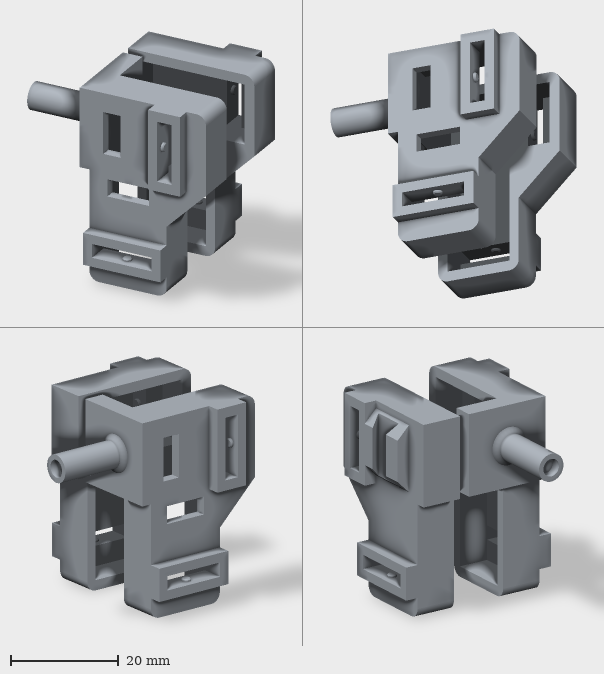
import cadquery as cq


ARM_LENGTH = 26.48
ARM_HEIGHT = 16.35
LEG_LEFT = 2.0
LEG_WIDTH = 16.22
TOTAL_HEIGHT = 39.05
GUSSET_HEIGHT = 8.15
CORNER_RADIUS = 2.0
LEG_RIGHT = LEG_LEFT + LEG_WIDTH

SHELL_DEPTH = 8.15
PANEL_THICKNESS = 2.05
WALL = 2.0
LEG_SIDE_WALL = 1.9

BAND_HEIGHT = 2.55
BAND_MARGIN = 1.85
ARM_BAND_LEFT = 15.7
ARM_BAND_WIDTH = 6.7
LEG_BAND_TOP = 28.35
LEG_BAND_WIDTH = 6.55
BAND_DEPTH = BAND_HEIGHT + PANEL_THICKNESS

BUTTON_DIAMETER = 1.8
BUTTON_HEIGHT = 0.52
BUTTON_CHAMFER = 0.2

ARM_WINDOW_LEFT = 4.92
ARM_WINDOW_TOP = 3.9
ARM_WINDOW_SIZE = (3.67, 8.6)
LEG_WINDOW_LEFT = 5.77
LEG_WINDOW_TOP = 17.55
LEG_WINDOW_SIZE = (8.75, 3.5)

PLATE_THICKNESS = 4.08
PLATE_DEPTH = 17.15
SPIGOT_LENGTH = 13.9
SPIGOT_DIAMETER = 5.5
SPIGOT_FLARE = 1.0
BORE_DIAMETER = 3.47
BORE_DEPTH = 2.0

SHELL_GAP = 2.0
REAR_FACE = PLATE_DEPTH + SHELL_GAP + SHELL_DEPTH
MOUNT_LEFT = 4.85
MOUNT_WIDTH = 12.1
MOUNT_BASE_HEIGHT = 13.28
DOVETAIL_MOUTH = 4.35
DOVETAIL_ROOT = 6.7
DOVETAIL_FLOOR = 0.45


def block(left, right, front, back, top, bottom):
    """Box between two X, two Y and two Z positions; top and bottom are distances below the top."""
    size = (right - left, back - front, bottom - top)
    return cq.Workplane("XY").box(*size, centered=False).translate((left, front, -bottom))


def outline_plate():
    """Solid L-shaped plate with a sloping gusset under the arm and rounded free corners."""
    plate = (
        cq.Workplane("XZ")
        .polyline([
            (0, 0),
            (ARM_LENGTH, 0),
            (ARM_LENGTH, -ARM_HEIGHT),
            (LEG_RIGHT, -ARM_HEIGHT - GUSSET_HEIGHT),
            (LEG_RIGHT, -TOTAL_HEIGHT),
            (LEG_LEFT, -TOTAL_HEIGHT),
            (LEG_LEFT, -ARM_HEIGHT),
            (0, -ARM_HEIGHT),
        ])
        .close()
        .extrude(-SHELL_DEPTH)
    )
    for x, z in [(ARM_LENGTH, 0), (LEG_LEFT, -TOTAL_HEIGHT), (LEG_RIGHT, -TOTAL_HEIGHT)]:
        corner = cq.selectors.NearestToPointSelector((x, SHELL_DEPTH / 2, z))
        plate = plate.edges(corner).fillet(CORNER_RADIUS)
    return plate


def cavity(arm_left):
    """L-shaped hollow open at the inner face of a shell."""
    arm = block(arm_left, ARM_LENGTH - WALL, PANEL_THICKNESS, SHELL_DEPTH, WALL, ARM_HEIGHT - WALL)
    leg = block(
        LEG_LEFT + LEG_SIDE_WALL, LEG_RIGHT - LEG_SIDE_WALL,
        PANEL_THICKNESS, SHELL_DEPTH, WALL, TOTAL_HEIGHT - WALL,
    )
    return arm.union(leg)


def button(center, direction):
    """Chamfered disc standing on a slot wall."""
    plane = cq.Plane(origin=center, normal=direction)
    disc = cq.Workplane(plane).circle(BUTTON_DIAMETER / 2).extrude(BUTTON_HEIGHT)
    tip = tuple(c + BUTTON_HEIGHT * d for c, d in zip(center, direction))
    return disc.edges(cq.selectors.NearestToPointSelector(tip)).chamfer(BUTTON_CHAMFER)


def shell(arm_left):
    """Hollow L-shaped shell with two slotted bands and their buttons, outer face at Y = 0."""
    arm_band_right = ARM_BAND_LEFT + ARM_BAND_WIDTH
    leg_band_bottom = LEG_BAND_TOP + LEG_BAND_WIDTH
    slot_left = ARM_BAND_LEFT + BAND_MARGIN
    slot_right = arm_band_right - BAND_MARGIN
    slot_top = LEG_BAND_TOP + BAND_MARGIN
    slot_bottom = leg_band_bottom - BAND_MARGIN

    body = outline_plate().cut(cavity(arm_left))
    body = body.union(block(ARM_BAND_LEFT, arm_band_right, -BAND_HEIGHT, 0, 0, ARM_HEIGHT))
    body = body.union(block(LEG_LEFT, LEG_RIGHT, -BAND_HEIGHT, 0, LEG_BAND_TOP, leg_band_bottom))
    body = body.cut(block(
        slot_left, slot_right, -BAND_HEIGHT, PANEL_THICKNESS, WALL, ARM_HEIGHT - WALL,
    ))
    body = body.cut(block(
        LEG_LEFT + LEG_SIDE_WALL, LEG_RIGHT - LEG_SIDE_WALL,
        -BAND_HEIGHT, PANEL_THICKNESS, slot_top, slot_bottom,
    ))

    button_y = PANEL_THICKNESS - BAND_DEPTH / 2
    arm_middle = -ARM_HEIGHT / 2
    leg_middle = (LEG_LEFT + LEG_RIGHT) / 2
    for center, direction in [
        ((slot_left, button_y, arm_middle), (1, 0, 0)),
        ((slot_right, button_y, arm_middle), (-1, 0, 0)),
        ((leg_middle, button_y, -slot_top), (0, 0, -1)),
        ((leg_middle, button_y, -slot_bottom), (0, 0, 1)),
    ]:
        body = body.union(button(center, direction))
    return body


def window(left, top, size):
    """Rectangular cutter through the front panel."""
    width, height = size
    return block(left, left + width, 0, PANEL_THICKNESS, top, top + height)


def spigot():
    """Round spigot with a 45 degree flare at its root and a blind bore in its end."""
    radius = SPIGOT_DIAMETER / 2
    bore_radius = BORE_DIAMETER / 2
    profile = (
        cq.Workplane("XY")
        .polyline([
            (0, 0),
            (0, radius + SPIGOT_FLARE),
            (-SPIGOT_FLARE, radius),
            (-SPIGOT_LENGTH, radius),
            (-SPIGOT_LENGTH, bore_radius),
            (BORE_DEPTH - SPIGOT_LENGTH, bore_radius),
            (BORE_DEPTH - SPIGOT_LENGTH, 0),
        ])
        .close()
    )
    turned = profile.revolve(360, (0, 0, 0), (1, 0, 0))
    return turned.translate((0, SHELL_DEPTH, -ARM_HEIGHT / 2))


def front_shell():
    """Shell with two windows, an end plate reaching towards the rear shell, and the spigot."""
    body = shell(PLATE_THICKNESS)
    body = body.union(block(0, PLATE_THICKNESS, 0, PLATE_DEPTH, 0, ARM_HEIGHT))
    body = body.cut(window(ARM_WINDOW_LEFT, ARM_WINDOW_TOP, ARM_WINDOW_SIZE))
    body = body.cut(window(LEG_WINDOW_LEFT, LEG_WINDOW_TOP, LEG_WINDOW_SIZE))
    return body.union(spigot())


def dovetail_mount():
    """Block with 45 degree top and bottom slopes, and a dovetail groove running along Z."""
    outer_face = REAR_FACE + BAND_HEIGHT
    base_top = -(ARM_HEIGHT - MOUNT_BASE_HEIGHT) / 2
    base_bottom = base_top - MOUNT_BASE_HEIGHT
    mount = (
        cq.Workplane("YZ", origin=(MOUNT_LEFT, 0, 0))
        .polyline([
            (REAR_FACE, base_top),
            (outer_face, base_top - BAND_HEIGHT),
            (outer_face, base_bottom + BAND_HEIGHT),
            (REAR_FACE, base_bottom),
        ])
        .close()
        .extrude(MOUNT_WIDTH)
    )
    middle = MOUNT_LEFT + MOUNT_WIDTH / 2
    groove = (
        cq.Workplane("XY")
        .polyline([
            (middle - DOVETAIL_MOUTH / 2, outer_face),
            (middle + DOVETAIL_MOUTH / 2, outer_face),
            (middle + DOVETAIL_ROOT / 2, REAR_FACE + DOVETAIL_FLOOR),
            (middle - DOVETAIL_ROOT / 2, REAR_FACE + DOVETAIL_FLOOR),
        ])
        .close()
        .extrude(-ARM_HEIGHT)
    )
    return mount.cut(groove)


def rear_shell():
    """Mirrored shell facing the front one, with the dovetail mount on its outer face."""
    body = shell(WALL).mirror("XZ").translate((0, REAR_FACE, 0))
    return body.union(dovetail_mount())


front = front_shell()
rear = rear_shell()

result = cq.Compound.makeCompound([front.val(), rear.val()])